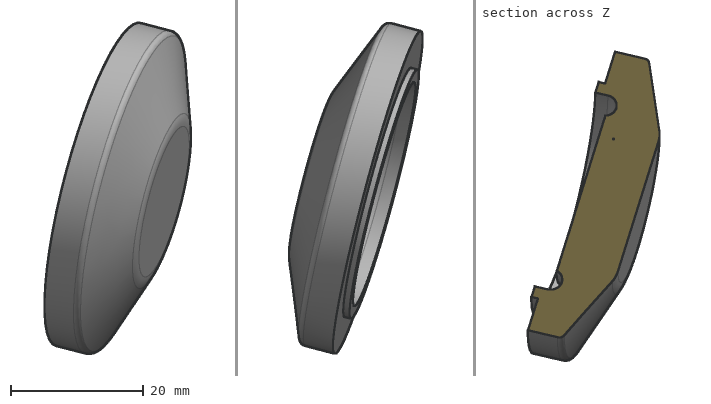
import cadquery as cq
import math

outer_radius = 50.5 / 2
total_length = 11.5

lip_height = 1.0
lip_outer_radius = 39.0 / 2
lip_inner_radius = 35.0 / 2

back_radius = 12.75
cone_angle = math.radians(22.5)
rim_fillet = 1.0
back_fillet = 5.0

groove_radius = 1.75
groove_centre_depth = 2.0
disc_depth = 2.5

lip_face_x = 0.0
rim_face_x = lip_face_x + lip_height
back_face_x = lip_face_x + total_length
rim_end_x = back_face_x - (outer_radius - back_radius) * math.tan(cone_angle)


def revolve_about_x(profile):
    return profile.close().revolve(360, (0, 0, 0), (1, 0, 0))


def make_body():
    """Lip, cylindrical rim and conical back as one solid turned shape."""
    profile = (
        cq.Workplane("XY")
        .moveTo(lip_face_x, 0)
        .lineTo(lip_face_x, lip_outer_radius)
        .lineTo(rim_face_x, lip_outer_radius)
        .lineTo(rim_face_x, outer_radius)
        .lineTo(rim_end_x, outer_radius)
        .lineTo(back_face_x, back_radius)
        .lineTo(back_face_x, 0)
    )
    return revolve_about_x(profile)


def round_cone_edges(body):
    """Round both ends of the cone: the rim edge and the back face edge."""
    widest_circles = cq.selectors.RadiusNthSelector(-1)
    rounded_rim = body.edges("%CIRCLE").edges(widest_circles).edges(">X").fillet(rim_fillet)
    return rounded_rim.faces(">X").edges().fillet(back_fillet)


def make_recess():
    """Space inside the lip; the groove is tangent to the wall and rises to the disc."""
    groove_centre_x = lip_face_x + groove_centre_depth
    groove_centre_radius = lip_inner_radius - groove_radius
    disc_face_x = lip_face_x + disc_depth
    disc_inset = math.sqrt(groove_radius**2 - (disc_face_x - groove_centre_x) ** 2)
    disc_radius = groove_centre_radius - disc_inset
    profile = (
        cq.Workplane("XY")
        .moveTo(lip_face_x, 0)
        .lineTo(lip_face_x, lip_inner_radius)
        .lineTo(groove_centre_x, lip_inner_radius)
        .threePointArc(
            (groove_centre_x + groove_radius, groove_centre_radius),
            (disc_face_x, disc_radius),
        )
        .lineTo(disc_face_x, 0)
    )
    return revolve_about_x(profile)


result = round_cone_edges(make_body()).cut(make_recess())